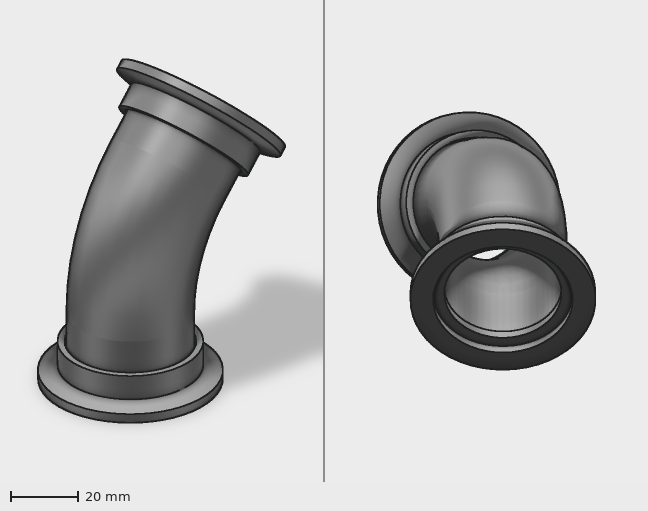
import cadquery as cq
import math

overall_height = 98.9
bend_angle = 45.0
bend_radius = 57.2

tube_outer_radius = 38.1 / 2
tube_inner_radius = 34.8 / 2

flange_radius = 55.0 / 2
rim_thickness = 3.0
clamp_taper_angle = 15.0
collar_radius = 43.3 / 2
collar_fillet = 0.3
flange_length = 12.7
recess_radius = 41.4 / 2
recess_depth = 2.9
socket_clearance = 0.5
socket_radius = tube_outer_radius + socket_clearance
socket_start = 5.7

bend_sin = math.sin(math.radians(bend_angle))
bend_cos = math.cos(math.radians(bend_angle))
leg_length = (overall_height - (bend_radius + flange_radius) * bend_sin) / (1 + bend_cos)
taper_height = (flange_radius - collar_radius) * math.tan(math.radians(clamp_taper_angle))

bend_start = (0, leg_length)
bend_end = (bend_radius * (1 - bend_cos), leg_length + bend_radius * bend_sin)
upper_face_centre = (
    bend_end[0] + leg_length * bend_sin,
    bend_end[1] + leg_length * bend_cos,
)


def make_tube():
    """Bent tube with a straight leg at each end, stopping inside the flange sockets."""
    half_angle = math.radians(bend_angle / 2)
    bend_middle = (
        bend_radius * (1 - math.cos(half_angle)),
        leg_length + bend_radius * math.sin(half_angle),
    )
    upper_end = (
        upper_face_centre[0] - socket_start * bend_sin,
        upper_face_centre[1] - socket_start * bend_cos,
    )
    centre_line = (
        cq.Workplane("YZ")
        .moveTo(0, socket_start)
        .lineTo(*bend_start)
        .threePointArc(bend_middle, bend_end)
        .lineTo(*upper_end)
    )
    return (
        cq.Workplane("XY", origin=(0, 0, socket_start))
        .circle(tube_outer_radius)
        .circle(tube_inner_radius)
        .sweep(centre_line)
    )


def make_flange(face_plane):
    """Clamp flange whose face lies on face_plane, its collar running along the plane normal."""
    taper_top = rim_thickness + taper_height
    outline = [
        (recess_radius, 0),
        (flange_radius, 0),
        (flange_radius, rim_thickness),
        (collar_radius, taper_top),
        (collar_radius, flange_length),
        (socket_radius, flange_length),
        (socket_radius, socket_start),
        (tube_inner_radius, socket_start),
        (tube_inner_radius, recess_depth),
        (recess_radius, recess_depth),
    ]
    flange = cq.Workplane("XZ").polyline(outline).close().revolve(360, (0, 0), (0, 1))

    corner_reach = 0.1
    corner = cq.selectors.BoxSelector(
        (-flange_radius, -flange_radius, taper_top - corner_reach),
        (flange_radius, flange_radius, taper_top + corner_reach),
    )
    flange = flange.edges("%CIRCLE").edges(corner).fillet(collar_fillet)
    return flange.val().moved(cq.Location(face_plane))


flange_planes = [
    cq.Plane(origin=(0, 0, 0), xDir=(1, 0, 0), normal=(0, 0, 1)),
    cq.Plane(
        origin=(0, *upper_face_centre),
        xDir=(1, 0, 0),
        normal=(0, -bend_sin, -bend_cos),
    ),
]

tube = make_tube()
flanges = [make_flange(plane) for plane in flange_planes]

result = cq.Compound.makeCompound([tube.val(), *flanges])